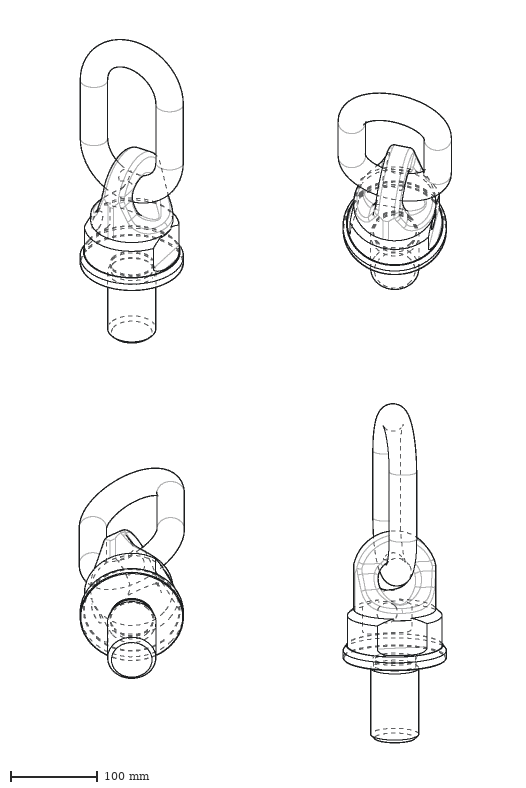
import cadquery as cq
import math


shank_radius = 28.0
shank_length = 95.0
shank_tip_chamfer = 4.5
shoulder_radius = 25.2
shoulder_height = 2.0
undercut_radius = 24.7
undercut_end_depth = 8.3
undercut_runout_depth = 11.5

flange_radius = 60.0
flange_rim_chamfer = 1.0
flange_rim_top = 9.6
flange_top_radius = 56.0
flange_top = 15.5
collar_radius = 55.0
collar_top = 59.0
collar_chamfer = 7.5

flat_distance = 46.5
flat_cove_radius = 7.0
flat_cove_bottom = 17.0
marking_radius = 12.0
marking_center_z = 43.0
marking_depth = 0.3

eye_radius = 47.5
neck_flat_half_width = 3.5
neck_radius = math.hypot(eye_radius, neck_flat_half_width)
neck_bottom = 56.5
eye_center_z = 102.5
eye_top = eye_center_z + eye_radius
eye_half_thickness = 14.0
eye_hole_radius = 21.5
eye_hole_end_radius = 27.5
eye_hole_half_length = eye_radius
rim_search_x = 30.0
eye_hole_center_z = 98.0
flank_break_z = 112.0
flank_angle = math.radians(20.3)
flank_end_x = 22.5
flank_blend_radius = 32.0
flank_foot_radius = 30.0
eye_edge_fillet = 5.0
eye_hole_fillet = 6.0

link_wire_radius = 16.0
link_width = 134.0
link_straight = 80.0
total_height = 397.3
link_bend_radius = link_width / 2 - link_wire_radius
link_upper_center_z = total_height - shank_length - link_width / 2
link_lower_center_z = link_upper_center_z - link_straight


def make_turned_base():
    """Shank, flange and collar as one body of revolution."""
    profile = [
        (0, -shank_length),
        (shank_radius - shank_tip_chamfer, -shank_length),
        (shank_radius, -shank_length + shank_tip_chamfer),
        (shank_radius, -undercut_runout_depth),
        (undercut_radius, -undercut_end_depth),
        (undercut_radius, -shoulder_height),
        (shoulder_radius, -shoulder_height),
        (shoulder_radius, 0),
        (flange_radius - flange_rim_chamfer, 0),
        (flange_radius, flange_rim_chamfer),
        (flange_radius, flange_rim_top),
        (flange_top_radius, flange_top),
        (collar_radius, flange_top),
        (collar_radius, collar_top - collar_chamfer),
        (collar_radius - collar_chamfer, collar_top),
        (0, collar_top),
    ]
    return cq.Workplane("XZ").polyline(profile).close().revolve(360, (0, 0), (0, 1))


def make_flat_cutter(side):
    """Material outside one wrench flat, with a cove at its foot; side is +1 or -1 along X."""
    far_x = 2 * collar_radius
    cove_center_x = flat_distance + flat_cove_radius
    cove_top = flat_cove_bottom + flat_cove_radius
    diagonal = flat_cove_radius * math.sqrt(0.5)
    return (
        cq.Workplane("XZ")
        .moveTo(side * flat_distance, collar_top)
        .lineTo(side * flat_distance, cove_top)
        .threePointArc(
            (side * (cove_center_x - diagonal), cove_top - diagonal),
            (side * cove_center_x, flat_cove_bottom),
        )
        .lineTo(side * far_x, flat_cove_bottom)
        .lineTo(side * far_x, collar_top)
        .close()
        .extrude(collar_radius, both=True)
    )


def make_marking_recess():
    """Shallow round recess in the -X wrench flat."""
    return (
        cq.Workplane("YZ", origin=(-flat_distance, 0, 0))
        .center(0, marking_center_z)
        .circle(marking_radius)
        .extrude(marking_depth)
    )


def make_flank_cutter(side):
    """Material beside the eye plate: straight side, sloping flank, hollow foot."""
    sin_a = math.sin(flank_angle)
    cos_a = math.cos(flank_angle)

    tangent = flank_blend_radius * math.tan(flank_angle / 2)
    blend_center_x = eye_half_thickness + flank_blend_radius
    blend_center_z = flank_break_z + tangent
    half_a = flank_angle / 2
    blend_mid = (
        blend_center_x - flank_blend_radius * math.cos(half_a),
        blend_center_z - flank_blend_radius * math.sin(half_a),
    )
    blend_end = (
        blend_center_x - flank_blend_radius * cos_a,
        blend_center_z - flank_blend_radius * sin_a,
    )

    flank_end_z = flank_break_z - (flank_end_x - eye_half_thickness) / math.tan(flank_angle)
    foot_center_x = flank_end_x + flank_foot_radius * cos_a
    foot_center_z = flank_end_z + flank_foot_radius * sin_a
    foot_mid_angle = (flank_angle + math.pi / 2) / 2
    foot_mid = (
        foot_center_x - flank_foot_radius * math.cos(foot_mid_angle),
        foot_center_z - flank_foot_radius * math.sin(foot_mid_angle),
    )
    foot_bottom_z = foot_center_z - flank_foot_radius

    far_x = 2 * eye_radius
    far_z = eye_top + eye_radius
    return (
        cq.Workplane("XZ")
        .moveTo(side * eye_half_thickness, far_z)
        .lineTo(side * eye_half_thickness, blend_center_z)
        .threePointArc((side * blend_mid[0], blend_mid[1]), (side * blend_end[0], blend_end[1]))
        .lineTo(side * flank_end_x, flank_end_z)
        .threePointArc((side * foot_mid[0], foot_mid[1]), (side * foot_center_x, foot_bottom_z))
        .lineTo(side * far_x, foot_bottom_z)
        .lineTo(side * far_x, far_z)
        .close()
        .extrude(2 * eye_radius, both=True)
    )


def cut_and_round_flanks(blank):
    """Cut both flanks from a blank and round the edges where they leave its curved surface."""
    for side in (-1, 1):
        blank = blank.cut(make_flank_cutter(side))
    return blank.edges("%ELLIPSE").fillet(eye_edge_fillet)


def make_eye_body():
    """Round neck narrowing upward into a round-topped eye plate."""
    neck_blank = (
        cq.Workplane("XY", origin=(0, 0, neck_bottom))
        .circle(neck_radius)
        .extrude(eye_top + eye_radius / 2 - neck_bottom)
    )
    arch_blank = (
        cq.Workplane("YZ")
        .moveTo(-eye_radius, neck_bottom)
        .lineTo(eye_radius, neck_bottom)
        .lineTo(eye_radius, eye_center_z)
        .threePointArc((0, eye_top), (-eye_radius, eye_center_z))
        .close()
        .extrude(2 * eye_radius, both=True)
    )
    return cut_and_round_flanks(neck_blank).intersect(cut_and_round_flanks(arch_blank))


def make_eye():
    """Eye body with a hole that flares gently to both sides, and rounded hole rims."""
    hole = (
        cq.Workplane("XZ", origin=(0, 0, eye_hole_center_z))
        .moveTo(-eye_hole_half_length, 0)
        .lineTo(-eye_hole_half_length, eye_hole_end_radius)
        .threePointArc((0, eye_hole_radius), (eye_hole_half_length, eye_hole_end_radius))
        .lineTo(eye_hole_half_length, 0)
        .close()
        .revolve(360, (0, 0), (1, 0))
    )
    eye = make_eye_body().cut(hole)
    for side in (-1, 1):
        rim_edges = cq.selectors.BoxSelector(
            (side * eye_half_thickness / 2, -eye_hole_end_radius, eye_hole_center_z - eye_hole_end_radius),
            (side * rim_search_x, eye_hole_end_radius, eye_hole_center_z + eye_hole_end_radius),
        )
        eye = eye.edges(rim_edges).fillet(eye_hole_fillet)
    return eye


def make_link():
    """Closed oval link of round wire."""
    path = (
        cq.Workplane("XZ")
        .moveTo(link_bend_radius, link_lower_center_z)
        .lineTo(link_bend_radius, link_upper_center_z)
        .threePointArc(
            (0, link_upper_center_z + link_bend_radius),
            (-link_bend_radius, link_upper_center_z),
        )
        .lineTo(-link_bend_radius, link_lower_center_z)
        .threePointArc(
            (0, link_lower_center_z - link_bend_radius),
            (link_bend_radius, link_lower_center_z),
        )
        .close()
    )
    return (
        cq.Workplane("XY", origin=(link_bend_radius, 0, link_lower_center_z))
        .circle(link_wire_radius)
        .sweep(path)
    )


base = make_turned_base()
for side in (-1, 1):
    base = base.cut(make_flat_cutter(side))
base = base.cut(make_marking_recess())

result = base.union(make_eye()).union(make_link())